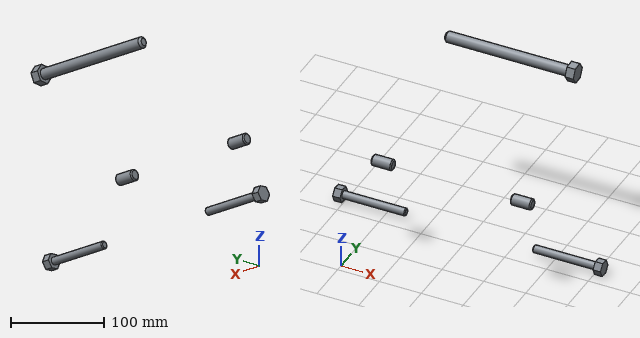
import cadquery as cq
import math


LONG_SHANK_DIAMETER = 12.7
LONG_HEAD_FLATS = 19.05
LONG_HEAD_HEIGHT = 9.9
LONG_LENGTH = 157.2
LONG_TIP_BEVEL = 2.4
LONG_HEAD_TURN = 4.5
LONG_Y = 100.8
LONG_Z = 166.35

SHORT_SHANK_DIAMETER = 8.89
SHORT_HEAD_FLATS = 15.875
SHORT_HEAD_HEIGHT = 8.9
SHORT_LENGTH = 83.8
SHORT_TIP_BEVEL = 1.1
SHORT_HEAD_TURN = -6.0
OVERALL_WIDTH = 320.08

PIN_DIAMETER = 12.7
PIN_LENGTH = 24.4
PIN_BEVEL = 1.4
PIN_CENTRE_X = 83.2
PIN_Y = -41.75
PIN_Z = 89.0

HEX_SIDES = 6


def hex_bolt(shank_diameter, head_flats, head_height, length, tip_bevel, head_turn):
    """Bolt along +X from its tip at the origin to the outer face of its hexagon head."""
    shank_length = length - head_height
    shank = (
        cq.Workplane("YZ")
        .circle(shank_diameter / 2)
        .extrude(shank_length)
        .faces("<X")
        .chamfer(tip_bevel)
    )
    across_corners = head_flats / math.cos(math.pi / HEX_SIDES)
    head = (
        cq.Workplane("YZ", origin=(shank_length, 0, 0))
        .polygon(HEX_SIDES, across_corners)
        .extrude(head_height)
        .rotate((0, 0, 0), (1, 0, 0), head_turn)
    )
    return shank.union(head)


def long_bolt():
    """Long bolt, centred lengthwise on X = 0."""
    bolt = hex_bolt(
        LONG_SHANK_DIAMETER,
        LONG_HEAD_FLATS,
        LONG_HEAD_HEIGHT,
        LONG_LENGTH,
        LONG_TIP_BEVEL,
        LONG_HEAD_TURN,
    )
    return bolt.translate((-LONG_LENGTH / 2, LONG_Y, LONG_Z))


def short_bolt():
    """Short bolt on the +X side, its head outward."""
    bolt = hex_bolt(
        SHORT_SHANK_DIAMETER,
        SHORT_HEAD_FLATS,
        SHORT_HEAD_HEIGHT,
        SHORT_LENGTH,
        SHORT_TIP_BEVEL,
        SHORT_HEAD_TURN,
    )
    return bolt.translate((OVERALL_WIDTH / 2 - SHORT_LENGTH, 0, 0))


def dowel_pin():
    """Dowel pin on the +X side, bevelled at both ends."""
    return (
        cq.Workplane("YZ", origin=(PIN_CENTRE_X - PIN_LENGTH / 2, PIN_Y, PIN_Z))
        .circle(PIN_DIAMETER / 2)
        .extrude(PIN_LENGTH)
        .faces("<X or >X")
        .chamfer(PIN_BEVEL)
    )


bodies = [long_bolt().val()]
for make_body in (short_bolt, dowel_pin):
    right_body = make_body()
    left_body = right_body.mirror("YZ")
    bodies += [right_body.val(), left_body.val()]

result = cq.Compound.makeCompound(bodies)